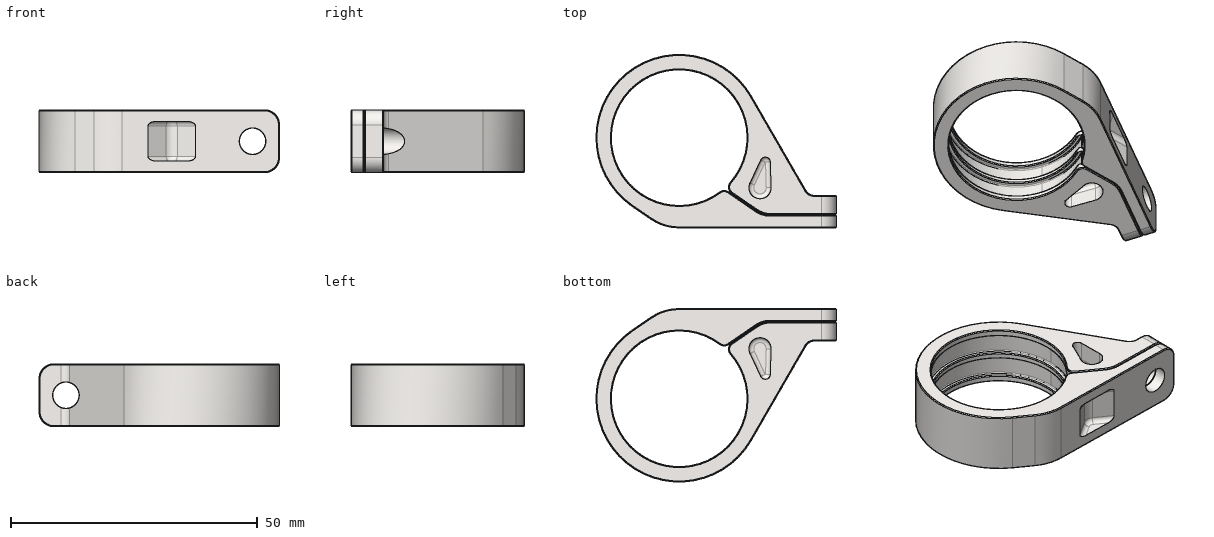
import cadquery as cq
import math


length = 48.75
depth = 35.15
height = 12.7
half_height = height / 2

ring_radius = 16.85
bore_radius = 13.75

tab_end = length - ring_radius
tab_bottom = ring_radius - depth
tab_top = -11.7
tab_corner_radius = 3.0
web_angle = 60
web_fillet = 2.0
heel_angle = 34.4
heel_radius = 10.0

slit_width = 0.15
slit_y = -15.65
slit_bend_x = 16.9
slit_bend_radius = 5.0
slit_lip_fillet = 1.5

edge_chamfer = 0.2
match_tolerance = 0.005

groove_width = 4.25
groove_depth = 0.95
groove_floor_fillet = 0.2
groove_lip_chamfer = 0.2
groove_spacing = 5.55

screw_hole_diameter = 5.3
screw_x = 26.4

teardrop_large_radius = 2.25
teardrop_large_center = (16.35, -10.15)
teardrop_small_radius = 1.0
teardrop_small_center = (17.45, -4.95)
teardrop_depth = 5.0
teardrop_floor_fillet = 0.97

jaw_pocket_x = 10.05
jaw_pocket_width = 9.65
jaw_pocket_height = 8.05
jaw_pocket_apex_radius = 2.0
jaw_pocket_fillet = 0.97
jaw_pocket_overrun = 2.45


def polar(radius, degrees, center=(0, 0)):
    """Point at the given distance and direction from a center."""
    angle = math.radians(degrees)
    return (center[0] + radius * math.cos(angle), center[1] + radius * math.sin(angle))


def clamp_blank():
    """Outline of ring and tab, extruded about the mid-plane, with the tab corners rounded."""
    web_normal = 90 - web_angle
    heel_normal = 270 - heel_angle
    web_start = polar(ring_radius, web_normal)
    heel_start = polar(ring_radius, heel_normal)

    web_foot_x = (
        ring_radius - tab_top * math.sin(math.radians(web_normal))
    ) / math.cos(math.radians(web_normal))
    fillet_run = web_fillet * math.tan(math.radians(web_angle / 2))
    fillet_start = polar(fillet_run, 180 - web_angle, (web_foot_x, tab_top))
    fillet_end = (web_foot_x + fillet_run, tab_top)
    fillet_middle = polar(web_fillet, 270 - web_angle / 2, (fillet_end[0], tab_top + web_fillet))

    heel_center_y = tab_bottom + heel_radius
    heel_center_x = (
        ring_radius - heel_radius - heel_center_y * math.sin(math.radians(heel_normal))
    ) / math.cos(math.radians(heel_normal))
    heel_center = (heel_center_x, heel_center_y)

    blank = (
        cq.Workplane("XY", origin=(0, 0, -half_height))
        .moveTo(*web_start)
        .threePointArc((-ring_radius, 0), heel_start)
        .lineTo(*polar(heel_radius, heel_normal, heel_center))
        .threePointArc(
            polar(heel_radius, 270 - heel_angle / 2, heel_center),
            polar(heel_radius, 270, heel_center),
        )
        .lineTo(tab_end, tab_bottom)
        .lineTo(tab_end, tab_top)
        .lineTo(*fillet_end)
        .threePointArc(fillet_middle, fillet_start)
        .close()
        .extrude(height)
    )
    return blank.faces(">X").edges("|Y").fillet(tab_corner_radius)


def slit():
    """Thin cut that runs in from the tab end, bends and rises at the heel angle into the bore."""
    bend_run = slit_bend_radius * math.tan(math.radians(heel_angle / 2))
    bend_center = (slit_bend_x + bend_run, slit_y + slit_bend_radius)
    return (
        cq.Workplane("XY", origin=(0, 0, -half_height))
        .moveTo(tab_end + slit_width, slit_y)
        .lineTo(bend_center[0], slit_y)
        .threePointArc(
            polar(slit_bend_radius, 270 - heel_angle / 2, bend_center),
            polar(slit_bend_radius, 270 - heel_angle, bend_center),
        )
        .lineTo(*polar(bore_radius, 180 - heel_angle, (slit_bend_x, slit_y)))
        .wire()
        .offset2D(slit_width / 2)
        .extrude(height)
    )


def round_slit_lips(body):
    """Round the two upright edges where the slit opens into the bore."""
    lip_edges = [
        edge
        for edge in body.edges("|Z").vals()
        if abs(math.hypot(edge.Center().x, edge.Center().y) - bore_radius) < match_tolerance
        and edge.Center().y < -match_tolerance
    ]
    return body.newObject(lip_edges).fillet(slit_lip_fillet)


def chamfer_rims(body):
    """Chamfer the rims of both flat sides; the cut follows the rounded tab corners around the end."""
    corner_start = tab_end - tab_corner_radius
    edges = [
        edge
        for edge in body.faces("<Z or >Z").edges().vals()
        if abs(edge.Center().x - corner_start) > match_tolerance
    ]
    return body.newObject(edges).chamfer(edge_chamfer)


def bore_groove(z):
    """Groove cutter, a full disc whose rim has a rounded floor and chamfered lips."""
    floor_radius = bore_radius + groove_depth
    disc = (
        cq.Workplane("XY", origin=(0, 0, z - groove_width / 2))
        .circle(floor_radius)
        .extrude(groove_width)
        .edges()
        .fillet(groove_floor_fillet)
    )
    half_width = groove_width / 2
    half_mouth = half_width + groove_lip_chamfer
    lip_radius = bore_radius + groove_lip_chamfer
    lips = (
        cq.Workplane("XZ", origin=(0, 0, z))
        .moveTo(0, -half_mouth)
        .lineTo(bore_radius, -half_mouth)
        .lineTo(lip_radius, -half_width)
        .lineTo(lip_radius, half_width)
        .lineTo(bore_radius, half_mouth)
        .lineTo(0, half_mouth)
        .close()
        .revolve(360, (0, 0, 0), (0, 1, 0))
    )
    return disc.union(lips)


def teardrop_pocket():
    """Pocket sunk from the top: two arcs joined by their outer tangents, with a rounded floor edge."""
    dx = teardrop_small_center[0] - teardrop_large_center[0]
    dy = teardrop_small_center[1] - teardrop_large_center[1]
    axis = math.degrees(math.atan2(dy, dx))
    spread = math.degrees(math.acos((teardrop_large_radius - teardrop_small_radius) / math.hypot(dx, dy)))
    return (
        cq.Workplane("XY", origin=(0, 0, half_height - teardrop_depth))
        .moveTo(*polar(teardrop_large_radius, axis + spread, teardrop_large_center))
        .threePointArc(
            polar(teardrop_large_radius, axis + 180, teardrop_large_center),
            polar(teardrop_large_radius, axis - spread, teardrop_large_center),
        )
        .lineTo(*polar(teardrop_small_radius, axis - spread, teardrop_small_center))
        .threePointArc(
            polar(teardrop_small_radius, axis, teardrop_small_center),
            polar(teardrop_small_radius, axis + spread, teardrop_small_center),
        )
        .close()
        .extrude(teardrop_depth)
        .faces("<Z")
        .edges()
        .fillet(teardrop_floor_fillet)
    )


def jaw_pocket():
    """Triangular pocket with a rounded apex, walls parallel to the slit slope, rounded at both ends."""
    half_width = jaw_pocket_width / 2
    slope = math.tan(math.radians(heel_angle))
    mouth_y = tab_bottom - jaw_pocket_overrun
    mouth_half = half_width + jaw_pocket_overrun / slope
    return (
        cq.Workplane("XY", origin=(0, 0, -jaw_pocket_height / 2))
        .moveTo(jaw_pocket_x - mouth_half, mouth_y)
        .lineTo(jaw_pocket_x, tab_bottom + half_width * slope)
        .lineTo(jaw_pocket_x + mouth_half, mouth_y)
        .close()
        .extrude(jaw_pocket_height)
        .edges("|Z and >Y")
        .fillet(jaw_pocket_apex_radius)
        .faces("<Z or >Z")
        .edges("not <Y")
        .fillet(jaw_pocket_fillet)
    )


def screw_hole():
    """Hole along Y through both jaws, also clearing the web flank behind the tab."""
    return (
        cq.Workplane("XZ", origin=(screw_x, ring_radius, 0))
        .circle(screw_hole_diameter / 2)
        .extrude(ring_radius - tab_bottom)
    )


body = clamp_blank()
body = body.cut(cq.Workplane("XY", origin=(0, 0, -half_height)).circle(bore_radius).extrude(height))
body = body.cut(slit())
body = round_slit_lips(body)
body = chamfer_rims(body)

for side in (-1, 1):
    body = body.cut(bore_groove(side * groove_spacing / 2))
body = body.cut(screw_hole())
body = body.cut(jaw_pocket())
top_pocket = teardrop_pocket()
body = body.cut(top_pocket)
body = body.cut(top_pocket.mirror("XY"))

result = body